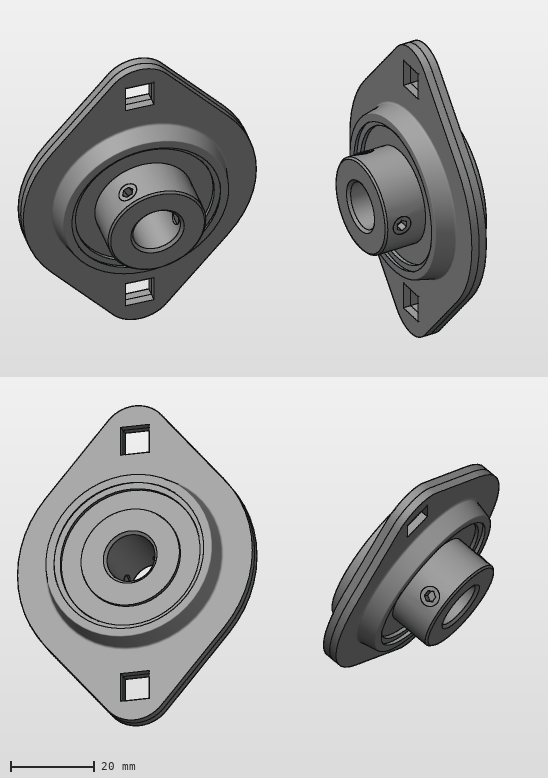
import cadquery as cq
import math


tip_reach = 40.5
half_width = 29.4
bolt_offset = 31.75
tip_radius = tip_reach - bolt_offset
bolt_hole_side = 7.1
plate_thickness = 2.0
cup_depth = 7.05
cup_root_radius = 21.95
cup_end_radius = 20.8
root_fillet = 0.6
cup_edge_fillet = 0.25

seat_radius = 20.0
outer_ring_half_width = 6.0
seal_radius = 17.5
seal_half_width = 5.0
hub_radius = 12.3
hub_back = outer_ring_half_width
hub_front = 15.95
hub_chamfer = 0.5
bore_radius = 6.0
bore_chamfer = 0.7

screw_radius = 2.4
screw_head_distance = 12.2
screw_x = (cup_depth + hub_front) / 2
socket_width = 2.5
socket_depth = 2.4
socket_sides = 6
screw_angles = (0, 120)


def flange_outline():
    """Outline in the YZ plane: two wide side arcs and two tip arcs joined by tangent lines."""
    tangent_angle = math.asin((half_width - tip_radius) / bolt_offset)
    side = math.cos(tangent_angle)
    rise = math.sin(tangent_angle)
    wide_y, wide_z = half_width * side, half_width * rise
    tip_y, tip_z = tip_radius * side, bolt_offset + tip_radius * rise
    return (
        cq.Workplane("YZ")
        .moveTo(wide_y, -wide_z)
        .threePointArc((half_width, 0), (wide_y, wide_z))
        .lineTo(tip_y, tip_z)
        .threePointArc((0, tip_reach), (-tip_y, tip_z))
        .lineTo(-wide_y, wide_z)
        .threePointArc((-half_width, 0), (-wide_y, -wide_z))
        .lineTo(-tip_y, -tip_z)
        .threePointArc((0, -tip_reach), (tip_y, -tip_z))
        .close()
    )


def turned(profile):
    """Solid of revolution about the shaft axis from a closed profile in the XY plane."""
    return profile.close().revolve(360, (0, 0, 0), (1, 0, 0))


def make_flange_half():
    """Half on the +X side: a plate with a conical cup around the spherical seat."""
    plate = flange_outline().extrude(plate_thickness)
    cup = turned(cq.Workplane("XY").polyline([
        (0, 0),
        (0, cup_root_radius),
        (plate_thickness, cup_root_radius),
        (cup_depth, cup_end_radius),
        (cup_depth, 0),
    ]))
    cup = cup.faces(">X").edges().fillet(cup_edge_fillet)
    root_box = cq.selectors.BoxSelector(
        (plate_thickness - root_fillet, -half_width, -half_width),
        (plate_thickness + root_fillet, half_width, half_width),
        boundingbox=True,
    )
    root_circle = cq.selectors.RadiusNthSelector(0)
    half = plate.union(cup).edges(root_box).edges("%CIRCLE").edges(root_circle)
    half = half.fillet(root_fillet)
    bolt_holes = (
        cq.Workplane("YZ")
        .pushPoints([(0, bolt_offset), (0, -bolt_offset)])
        .rect(bolt_hole_side, bolt_hole_side)
        .extrude(plate_thickness)
    )
    ball = turned(
        cq.Workplane("XY")
        .moveTo(-seat_radius, 0)
        .threePointArc((0, seat_radius), (seat_radius, 0))
    )
    return half.cut(bolt_holes).cut(ball)


def radial_plane(angle, distance):
    """Workplane facing outward from the shaft axis at a set screw."""
    y, z = math.cos(math.radians(angle)), math.sin(math.radians(angle))
    return cq.Workplane(cq.Plane(
        origin=(screw_x, distance * y, distance * z), xDir=(1, 0, 0), normal=(0, y, z)
    ))


def make_set_screw(angle):
    """Screw from the bore to just below the collar surface, with a hexagon socket."""
    socket = (
        radial_plane(angle, screw_head_distance)
        .transformed(rotate=(0, 0, 180 / socket_sides))
        .polygon(socket_sides, socket_width / math.cos(math.pi / socket_sides))
        .extrude(-socket_depth)
    )
    length = screw_head_distance - bore_radius
    body = radial_plane(angle, bore_radius).circle(screw_radius).extrude(length)
    return body.cut(socket)


def make_insert():
    """Spherical outer ring, recessed seals and the hub with its collar."""
    rim_radius = math.sqrt(seat_radius**2 - outer_ring_half_width**2)
    insert = turned(
        cq.Workplane("XY")
        .moveTo(bore_chamfer - hub_back, bore_radius)
        .lineTo(-hub_back, bore_radius + bore_chamfer)
        .lineTo(-hub_back, hub_radius)
        .lineTo(-seal_half_width, hub_radius)
        .lineTo(-seal_half_width, seal_radius)
        .lineTo(-outer_ring_half_width, seal_radius)
        .lineTo(-outer_ring_half_width, rim_radius)
        .threePointArc((0, seat_radius), (outer_ring_half_width, rim_radius))
        .lineTo(outer_ring_half_width, seal_radius)
        .lineTo(seal_half_width, seal_radius)
        .lineTo(seal_half_width, hub_radius)
        .lineTo(hub_front - hub_chamfer, hub_radius)
        .lineTo(hub_front, hub_radius - hub_chamfer)
        .lineTo(hub_front, bore_radius + bore_chamfer)
        .lineTo(hub_front - bore_chamfer, bore_radius)
    )
    for angle in screw_angles:
        screw_hole = radial_plane(angle, 0).circle(screw_radius).extrude(hub_radius)
        insert = insert.cut(screw_hole)
    return insert


front_flange = make_flange_half()
back_flange = front_flange.mirror("YZ")
insert = make_insert()
set_screws = [make_set_screw(angle) for angle in screw_angles]

result = cq.Compound.makeCompound([
    front_flange.val(),
    back_flange.val(),
    insert.val(),
    *[screw.val() for screw in set_screws],
])